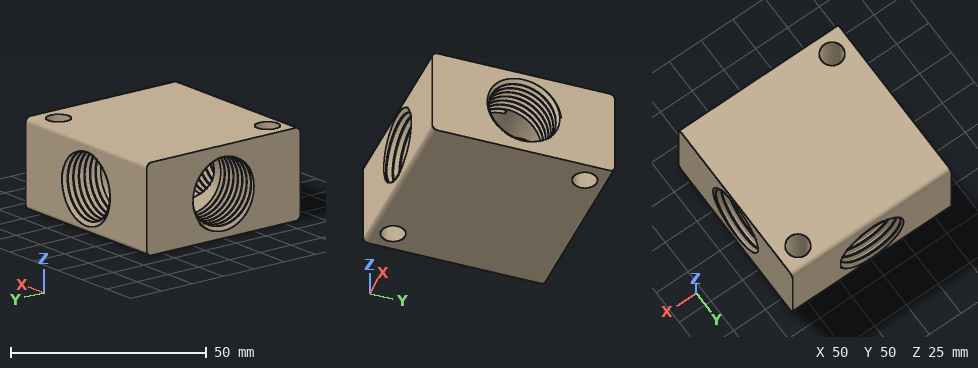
import cadquery as cq
import math

SIDE = 50.0
HEIGHT = 25.0
EDGE_RADIUS = 1.5

MOUNT_DIAMETER = 6.5
MOUNT_OFFSET = 19.0

THREAD_PITCH = 1.814
MINOR_DIAMETER = 18.631
MAJOR_DIAMETER = 20.955
THREAD_TURNS = 7
FLANK_ANGLE = math.radians(27.5)
ROOT_RADIUS = 0.137329 * THREAD_PITCH
BORE_OVERLAP = 0.1
PORTS = [(0, -90), (90, -90), (180, 90), (270, 90)]


def block():
    """Block with its four edges along X rounded."""
    return cq.Workplane("XY").box(SIDE, SIDE, HEIGHT).edges("|X").fillet(EDGE_RADIUS)


def mounting_holes():
    """Two plain through holes in opposite corners."""
    centres = [(MOUNT_OFFSET, MOUNT_OFFSET), (-MOUNT_OFFSET, -MOUNT_OFFSET)]
    return (
        cq.Workplane("XY")
        .pushPoints(centres)
        .circle(MOUNT_DIAMETER / 2)
        .extrude(HEIGHT, both=True)
    )


def cross_bores():
    """Two through bores of the thread's minor diameter that cross at the centre."""
    bore_along_x = cq.Workplane("YZ").circle(MINOR_DIAMETER / 2).extrude(SIDE, both=True)
    bore_along_y = cq.Workplane("XZ").circle(MINOR_DIAMETER / 2).extrude(SIDE, both=True)
    return bore_along_x, bore_along_y


def groove_profile(inner_radius):
    """Groove section in the XZ plane: two straight flanks joined by a tangent root arc."""
    outer_radius = MAJOR_DIAMETER / 2
    root_centre = outer_radius - ROOT_RADIUS
    tangent_radius = root_centre + ROOT_RADIUS * math.sin(FLANK_ANGLE)
    tangent_half_width = ROOT_RADIUS * math.cos(FLANK_ANGLE)
    flank_height = tangent_radius - inner_radius
    mouth_half_width = tangent_half_width + flank_height * math.tan(FLANK_ANGLE)
    return (
        cq.Workplane("XZ")
        .moveTo(inner_radius, -mouth_half_width)
        .lineTo(tangent_radius, -tangent_half_width)
        .threePointArc((outer_radius, 0), (tangent_radius, tangent_half_width))
        .lineTo(inner_radius, mouth_half_width)
        .close()
    )


def thread_groove():
    """Helical groove along +Z that starts one pitch below Z = 0."""
    inner_radius = MINOR_DIAMETER / 2 - BORE_OVERLAP
    helix_length = (THREAD_TURNS + 1) * THREAD_PITCH
    helix = cq.Wire.makeHelix(THREAD_PITCH, helix_length, inner_radius)
    groove = groove_profile(inner_radius).sweep(cq.Workplane(helix), isFrenet=True)
    return groove.translate((0, 0, -THREAD_PITCH))


def port_groove(port_angle, start_angle):
    """Thread groove of one port, running inward from its side face."""
    return (
        thread_groove()
        .rotate((0, 0, 0), (0, 0, 1), start_angle)
        .rotate((0, 0, 0), (1, 0, 0), -90)
        .translate((0, -SIDE / 2, 0))
        .rotate((0, 0, 0), (0, 0, 1), port_angle)
    )


result = block().cut(mounting_holes())
for bore in cross_bores():
    result = result.cut(bore)
for port_angle, start_angle in PORTS:
    result = result.cut(port_groove(port_angle, start_angle))